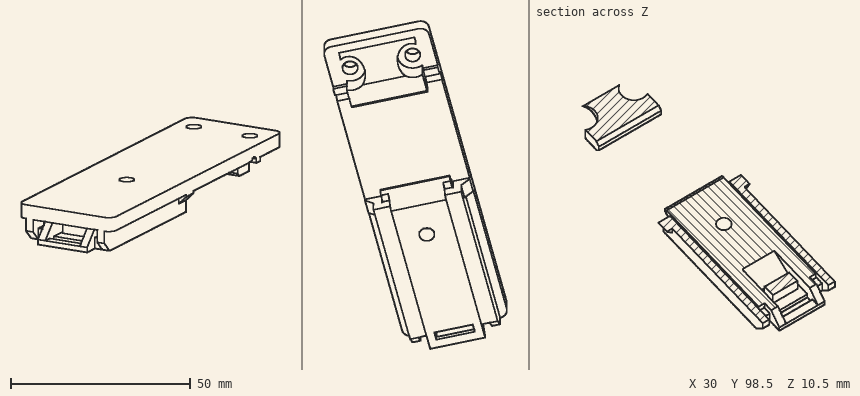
import cadquery as cq
import math


PLATE_WIDTH = 30.0
PLATE_BACK = 49.25
PLATE_FRONT = -47.8
PLATE_TOP = 10.5
PLATE_THICKNESS = 4.0
PLATE_BOTTOM = PLATE_TOP - PLATE_THICKNESS
CORNER_RADIUS = 2.5

HOLE_DIAMETER = 4.2
BACK_HOLE_X = 9.0
BACK_HOLE_Y = 41.3
FRONT_HOLE_Y = -12.7
HEAD_CLEARANCE_DIAMETER = 8.5

HOOK_WIDTH = 21.7
HOOK_DEPTH = 5.0
HOOK_RAMP_ANGLE = 30.0
HOOK_START = PLATE_BACK - CORNER_RADIUS
HOOK_TIP = 31.0
HOOK_CHAMFER = 1.0
HOOK_TIP_DROP = 2.4
HOOK_BARB_DROP = 0.5
HOOK_BARB_Y = HOOK_TIP + HOOK_TIP_DROP - HOOK_BARB_DROP
RELIEF_RADIUS = 1.4
NECK_FRONT = HOOK_BARB_Y + RELIEF_RADIUS
NECK_LENGTH = 2.2
NECK_HEIGHT = 1.2

HOUSING_WIDTH = PLATE_WIDTH - 2 * CORNER_RADIUS
HOUSING_BACK = -1.4
HOUSING_CHAMFER = 3.0
CHANNEL_WIDTH = 20.5
LIP_FRONT = PLATE_FRONT + HOUSING_CHAMFER
LIP_HEIGHT = 3.25
EAR_LENGTH = 4.1
EAR_SIDE_HEIGHT = 0.6
STOP_WIDTH = 8.6
STOP_FRONT = -41.4
STOP_LENGTH = 3.9

CLEARANCE = 0.3
LATCH_FRONT = -49.25
STEM_WIDTH = 15.8
FLANGE_FRONT = -42.4
FLANGE_WIDTH = CHANNEL_WIDTH - 2 * CLEARANCE
FLANGE_BOTTOM = LIP_HEIGHT + CLEARANCE
LATCH_TOP_BACK = -0.6
TOOTH_TIP = 1.6
TOOTH_ROOT_DROP = 0.8
TOOTH_TIP_DROP = 1.5
TOOTH_TIP_HEIGHT = 0.5
FLOOR_THICKNESS = 1.5
POCKET_WIDTH = 11.0
POCKET_RAMP_ANGLE = 30.0
POCKET_RAMP_FOOT = -35.5
SLOT_FRONT = -46.7
SLOT_BACK = -44.3


def block(width, y_front, y_back, z_bottom, z_top):
    """Box centred on X = 0 between the given Y and Z limits."""
    return (
        cq.Workplane("XY")
        .box(width, y_back - y_front, z_top - z_bottom, centered=(True, False, False))
        .translate((0, y_front, z_bottom))
    )


def side_profile(points, width):
    """Prism of the given (Y, Z) outline, centred on X = 0."""
    return cq.Workplane("YZ").polyline(points).close().extrude(width / 2, both=True)


def cylinder(diameter, x, y, z_bottom, z_top):
    """Vertical cylinder between two heights."""
    return (
        cq.Workplane("XY", origin=(x, y, z_bottom))
        .circle(diameter / 2)
        .extrude(z_top - z_bottom)
    )


def make_plate():
    """Flat plate with rounded vertical corners."""
    plate = block(PLATE_WIDTH, PLATE_FRONT, PLATE_BACK, PLATE_BOTTOM, PLATE_TOP)
    return plate.edges("|Z").fillet(CORNER_RADIUS)


def make_hook():
    """Wedge with a nose that points forward below the plate."""
    bottom = PLATE_BOTTOM - HOOK_DEPTH
    ramp_run = HOOK_DEPTH / math.tan(math.radians(HOOK_RAMP_ANGLE))
    neck_bottom = PLATE_BOTTOM - NECK_HEIGHT
    return side_profile(
        [
            (HOOK_START, PLATE_BOTTOM),
            (HOOK_START - ramp_run, bottom),
            (HOOK_TIP + HOOK_CHAMFER, bottom),
            (HOOK_TIP, bottom + HOOK_CHAMFER),
            (HOOK_TIP, PLATE_BOTTOM - HOOK_TIP_DROP),
            (HOOK_BARB_Y, PLATE_BOTTOM - HOOK_BARB_DROP),
            (HOOK_BARB_Y, neck_bottom),
            (NECK_FRONT, neck_bottom),
            (NECK_FRONT, PLATE_BOTTOM),
        ],
        HOOK_WIDTH,
    )


def make_neck():
    """Low rib across the full plate width, just behind the hook relief."""
    return block(PLATE_WIDTH, NECK_FRONT, NECK_FRONT + NECK_LENGTH, PLATE_BOTTOM - NECK_HEIGHT, PLATE_BOTTOM)


def make_relief():
    """Half-round groove across the plate underside, above the hook barb."""
    centre_z = PLATE_BOTTOM - HOOK_BARB_DROP
    return (
        cq.Workplane("YZ")
        .moveTo(HOOK_BARB_Y + RELIEF_RADIUS, centre_z)
        .threePointArc((HOOK_BARB_Y, centre_z + RELIEF_RADIUS), (HOOK_BARB_Y - RELIEF_RADIUS, centre_z))
        .close()
        .extrude(PLATE_WIDTH / 2, both=True)
    )


def make_housing():
    """Block with a channel for the latch, two retaining lips and a chamfered front."""
    housing = block(HOUSING_WIDTH, PLATE_FRONT, HOUSING_BACK, 0, PLATE_BOTTOM)
    housing = housing.faces("<Y").edges("<Z").chamfer(HOUSING_CHAMFER)
    channel_above_lips = block(CHANNEL_WIDTH, PLATE_FRONT, HOUSING_BACK, LIP_HEIGHT, PLATE_BOTTOM)
    channel_between_lips = block(STEM_WIDTH, PLATE_FRONT, HOUSING_BACK, 0, LIP_HEIGHT)
    channel_ahead_of_lips = block(CHANNEL_WIDTH, PLATE_FRONT, LIP_FRONT, 0, LIP_HEIGHT)
    return housing.cut(channel_above_lips).cut(channel_between_lips).cut(channel_ahead_of_lips)


def make_ears():
    """Gussets that widen the housing to the plate sides at its back end."""
    inner = CHANNEL_WIDTH / 2
    outer = PLATE_WIDTH / 2
    shoulder = HOUSING_WIDTH / 2
    slope_top = PLATE_BOTTOM - EAR_SIDE_HEIGHT
    slope_bottom = slope_top - (outer - shoulder)
    right_ear = (
        cq.Workplane("XZ", origin=(0, HOUSING_BACK, 0))
        .polyline(
            [
                (inner, PLATE_BOTTOM),
                (outer, PLATE_BOTTOM),
                (outer, slope_top),
                (shoulder, slope_bottom),
                (inner, slope_bottom),
            ]
        )
        .close()
        .extrude(EAR_LENGTH)
    )
    return right_ear.union(right_ear.mirror("YZ"))


def make_stop():
    """Stop under the plate that hangs into the latch pocket."""
    return block(STOP_WIDTH, STOP_FRONT, STOP_FRONT + STOP_LENGTH, FLOOR_THICKNESS + CLEARANCE, PLATE_BOTTOM)


def make_base():
    """Plate, hook, latch housing and stop as one solid."""
    base = make_plate().union(make_hook()).union(make_neck()).cut(make_relief())
    base = base.union(make_housing()).union(make_ears()).union(make_stop())
    for x in (-BACK_HOLE_X, BACK_HOLE_X):
        base = base.cut(cylinder(HOLE_DIAMETER, x, BACK_HOLE_Y, PLATE_BOTTOM, PLATE_TOP))
        base = base.cut(cylinder(HEAD_CLEARANCE_DIAMETER, x, BACK_HOLE_Y, 0, PLATE_BOTTOM))
    return base.cut(cylinder(HOLE_DIAMETER, 0, FRONT_HOLE_Y, PLATE_BOTTOM, PLATE_TOP))


def make_latch():
    """T-section slider with a sloped handle, a pocket and a rail tooth."""
    tip_top = PLATE_BOTTOM - TOOTH_TIP_DROP
    tip_bottom = tip_top - TOOTH_TIP_HEIGHT
    outline = [
        (LATCH_FRONT, 0),
        (LATCH_FRONT, FLOOR_THICKNESS),
        (LATCH_FRONT + PLATE_BOTTOM - FLOOR_THICKNESS, PLATE_BOTTOM),
        (LATCH_TOP_BACK, PLATE_BOTTOM),
        (LATCH_TOP_BACK, PLATE_BOTTOM - TOOTH_ROOT_DROP),
        (TOOTH_TIP, tip_top),
        (TOOTH_TIP, tip_bottom),
        (TOOTH_TIP - tip_bottom, 0),
    ]
    stem = side_profile(outline, STEM_WIDTH)
    flange_space = block(FLANGE_WIDTH, FLANGE_FRONT, TOOTH_TIP, FLANGE_BOTTOM, PLATE_BOTTOM)
    latch = stem.union(side_profile(outline, FLANGE_WIDTH).intersect(flange_space))

    ramp_run = (PLATE_BOTTOM - FLOOR_THICKNESS) / math.tan(math.radians(POCKET_RAMP_ANGLE))
    pocket = side_profile(
        [
            (LATCH_FRONT, FLOOR_THICKNESS),
            (POCKET_RAMP_FOOT, FLOOR_THICKNESS),
            (POCKET_RAMP_FOOT + ramp_run, PLATE_BOTTOM),
            (LATCH_FRONT, PLATE_BOTTOM),
        ],
        POCKET_WIDTH,
    )
    slot = block(POCKET_WIDTH, SLOT_FRONT, SLOT_BACK, 0, FLOOR_THICKNESS)
    screw_hole = cylinder(HOLE_DIAMETER, 0, FRONT_HOLE_Y, 0, PLATE_BOTTOM)
    return latch.cut(pocket).cut(slot).cut(screw_hole)


base = make_base()
latch = make_latch()

result = cq.Compound.makeCompound([base.solids().val(), latch.solids().val()])